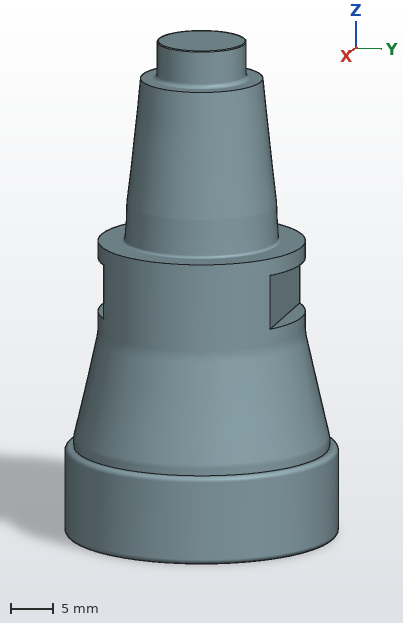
import cadquery as cq
import math

total_height = 59.0

collar_diameter = 31.9
collar_height = 10.45
collar_edge_radius = 0.6

foot_radius = 29.85 / 2
shoulder_radius = 24.2 / 2
sleeve_bottom_radius = 17.95 / 2
sleeve_top_radius = 17.45 / 2
taper_top_radius = 14.3 / 2
tip_radius = 10.4 / 2

skirt_bottom_z = 11.5
skirt_top_z = 24.0
shoulder_top_z = 35.05
sleeve_top_z = 39.6
taper_top_z = 54.5

skirt_bottom_blend = 1.75
skirt_top_blend = 5.0
sleeve_root_fillet = 0.35
tip_root_fillet = 0.55
tip_edge_chamfer = 0.1

flat_spacing = 20.05
flat_bottom_z = 26.6
flat_top_z = 33.05


def blended_corner(profile, before, corner, after, radius):
    """Draw a line towards corner and round it with an arc tangent to both sides."""
    corner = cq.Vector(*corner)
    inward = (cq.Vector(*before) - corner).normalized()
    outward = (cq.Vector(*after) - corner).normalized()
    half_angle = inward.getAngle(outward) / 2
    setback = radius / math.tan(half_angle)
    center_distance = radius / math.sin(half_angle)
    bisector = (inward + outward).normalized()
    start = corner + inward * setback
    middle = corner + bisector * (center_distance - radius)
    end = corner + outward * setback
    return profile.lineTo(start.x, start.y).threePointArc((middle.x, middle.y), (end.x, end.y))


def make_collar():
    return (
        cq.Workplane("XY")
        .circle(collar_diameter / 2)
        .extrude(collar_height)
        .edges()
        .fillet(collar_edge_radius)
    )


def make_turned_body():
    """Revolve the half outline, given as (radius, height) points, about Z."""
    foot = (foot_radius, collar_height)
    skirt_bottom = (foot_radius, skirt_bottom_z)
    skirt_top = (shoulder_radius, skirt_top_z)
    shoulder_top = (shoulder_radius, shoulder_top_z)
    sleeve_bottom = (sleeve_bottom_radius, shoulder_top_z)
    sleeve_top = (sleeve_top_radius, sleeve_top_z)
    taper_top = (taper_top_radius, taper_top_z)
    tip_bottom = (tip_radius, taper_top_z)
    tip_top = (tip_radius, total_height)

    profile = cq.Workplane("XZ").moveTo(0, collar_height).lineTo(*foot)
    profile = blended_corner(profile, foot, skirt_bottom, skirt_top, skirt_bottom_blend)
    profile = blended_corner(profile, skirt_bottom, skirt_top, shoulder_top, skirt_top_blend)
    profile = profile.lineTo(*shoulder_top)
    profile = blended_corner(profile, shoulder_top, sleeve_bottom, sleeve_top, sleeve_root_fillet)
    profile = profile.lineTo(*sleeve_top).lineTo(*taper_top)
    profile = blended_corner(profile, taper_top, tip_bottom, tip_top, tip_root_fillet)
    profile = (
        profile.lineTo(tip_radius, total_height - tip_edge_chamfer)
        .lineTo(tip_radius - tip_edge_chamfer, total_height)
        .lineTo(0, total_height)
        .close()
    )
    return profile.revolve(360, (0, 0, 0), (0, 1, 0))


def make_flat_cutter(side):
    """Block that cuts one flat; side is -1 or +1 along Y."""
    width = 2 * shoulder_radius
    depth = shoulder_radius
    height = flat_top_z - flat_bottom_z
    center_y = side * (flat_spacing + depth) / 2
    center_z = (flat_bottom_z + flat_top_z) / 2
    return cq.Workplane("XY").box(width, depth, height).translate((0, center_y, center_z))


def make_body():
    body = make_turned_body()
    for side in (-1, 1):
        body = body.cut(make_flat_cutter(side))
    return body


collar = make_collar()
body = make_body()

result = cq.Compound.makeCompound([collar.val(), body.val()])